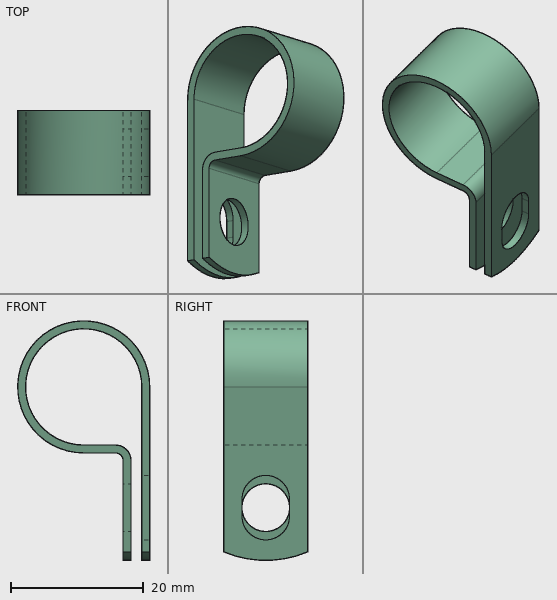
import cadquery as cq
import math

strap_width = 12.7
strap_thickness = 1.22
loop_outer_diameter = 19.89
overall_height = 36.05
leg_gap = 1.6
bend_outer_radius = 2.35
hole_diameter = 7.14
hole_height_above_tip = 7.95
slot_length = 9.7
tip_rise = 1.3

loop_outer_radius = loop_outer_diameter / 2
loop_inner_radius = loop_outer_radius - strap_thickness
bend_inner_radius = bend_outer_radius - strap_thickness
tip_z = loop_outer_radius - overall_height
short_leg_outer_x = loop_inner_radius - leg_gap
short_leg_inner_x = short_leg_outer_x - strap_thickness
bend_center_x = short_leg_outer_x - bend_outer_radius
bend_center_z = -loop_inner_radius - bend_outer_radius
hole_z = tip_z + hole_height_above_tip
half_width = strap_width / 2
diagonal = math.sqrt(0.5)
upright = 90


def bend_midpoint(radius):
    """Point halfway round the quarter bend at the given radius."""
    offset = radius * diagonal
    return (bend_center_x + offset, bend_center_z + offset)


def make_strap():
    """Bent strap: long leg, three-quarter loop, flat, bend and short leg."""
    outer_mid = (-loop_outer_radius * diagonal, loop_outer_radius * diagonal)
    inner_mid = (-loop_inner_radius * diagonal, loop_inner_radius * diagonal)
    return (
        cq.Workplane("XZ")
        .moveTo(loop_outer_radius, tip_z)
        .lineTo(loop_outer_radius, 0)
        .threePointArc(outer_mid, (0, -loop_outer_radius))
        .lineTo(bend_center_x, -loop_outer_radius)
        .threePointArc(bend_midpoint(bend_inner_radius), (short_leg_inner_x, bend_center_z))
        .lineTo(short_leg_inner_x, tip_z)
        .lineTo(short_leg_outer_x, tip_z)
        .lineTo(short_leg_outer_x, bend_center_z)
        .threePointArc(bend_midpoint(bend_outer_radius), (bend_center_x, -loop_inner_radius))
        .lineTo(0, -loop_inner_radius)
        .threePointArc(inner_mid, (loop_inner_radius, 0))
        .lineTo(loop_inner_radius, tip_z)
        .close()
        .extrude(half_width, both=True)
    )


def make_tip_envelope():
    """Block around the whole strap whose underside is the rounded leg tip."""
    return (
        cq.Workplane("YZ", origin=(-loop_outer_radius, 0, 0))
        .moveTo(-half_width, loop_outer_radius)
        .lineTo(-half_width, tip_z + tip_rise)
        .threePointArc((0, tip_z), (half_width, tip_z + tip_rise))
        .lineTo(half_width, loop_outer_radius)
        .close()
        .extrude(loop_outer_diameter)
    )


def make_round_hole():
    """Cylinder through the short leg."""
    return (
        cq.Workplane("YZ", origin=(short_leg_inner_x, 0, hole_z))
        .circle(hole_diameter / 2)
        .extrude(strap_thickness)
    )


def make_slot():
    """Upright slot through the long leg, on the same centre as the round hole."""
    return (
        cq.Workplane("YZ", origin=(loop_inner_radius, 0, hole_z))
        .slot2D(slot_length, hole_diameter, upright)
        .extrude(strap_thickness)
    )


strap = make_strap().intersect(make_tip_envelope())
result = strap.cut(make_round_hole()).cut(make_slot())